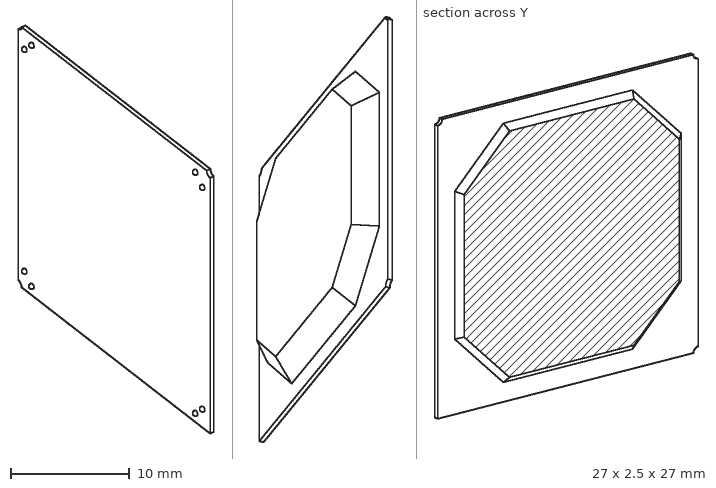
import cadquery as cq

side = 27.0
half_side = side / 2
plate_thickness = 0.4
notch_radius = 0.49

block_width = 23.44
block_flat = 13.36
block_height = 1.8
block_taper = 45.0

dome_radius = 0.25
stem_height = 0.045
dome_near_inset = 1.0
dome_far_inset = 2 * dome_near_inset


def make_plate():
    """Square plate with round notches at every corner but +X, -Z."""
    plate = cq.Workplane("XY").box(side, plate_thickness, side, centered=(True, False, True))
    notched_corners = [
        (-half_side, half_side),
        (half_side, half_side),
        (-half_side, -half_side),
    ]
    notches = (
        cq.Workplane("XZ")
        .pushPoints(notched_corners)
        .circle(notch_radius)
        .extrude(-plate_thickness)
    )
    return plate.cut(notches)


def make_block():
    """Solid octagonal block whose sides slope inward away from the plate."""
    outer = block_width / 2
    flat = block_flat / 2
    octagon = [
        (outer, -flat),
        (outer, flat),
        (flat, outer),
        (-flat, outer),
        (-outer, flat),
        (-outer, -flat),
        (-flat, -outer),
        (flat, -outer),
    ]
    return (
        cq.Workplane("XZ", origin=(0, plate_thickness, 0))
        .polyline(octagon)
        .close()
        .extrude(-block_height, taper=block_taper)
    )


def make_domes():
    """Round stems standing on the front face, each capped by a half-sphere."""
    near = half_side - dome_near_inset
    far = half_side - dome_far_inset
    centers = [
        (x_sign * x, z_sign * z)
        for x_sign in (-1, 1)
        for z_sign in (-1, 1)
        for x, z in ((near, far), (far, near))
    ]
    stems = cq.Workplane("XZ").pushPoints(centers).circle(dome_radius).extrude(stem_height)
    caps = (
        cq.Workplane("XZ", origin=(0, -stem_height, 0))
        .pushPoints(centers)
        .sphere(dome_radius)
    )
    return stems.union(caps)


result = make_plate().union(make_block()).union(make_domes())